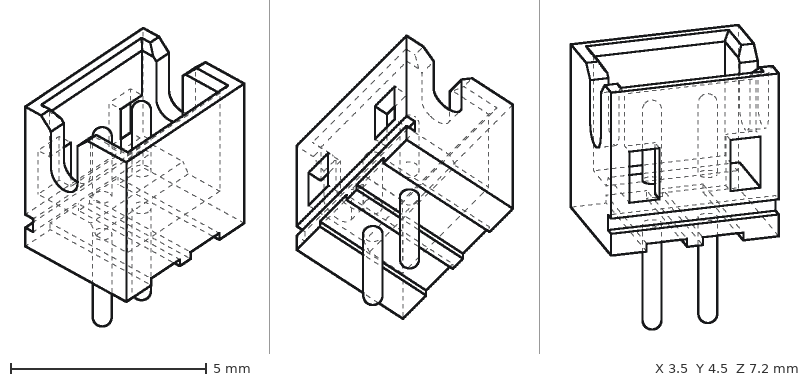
import cadquery as cq

length_x = 3.5
width_y = 4.5
height = 4.5

end_wall = 0.4
side_wall = 0.49
floor_z = 1.405
mouth_width = 0.15
mouth_depth = 0.245

ramp_start_x = 1.82
ramp_end_x = 2.01
lower_floor_z = 1.1

slot_center_x = 1.35
slot_width = 0.915
slot_bottom_z = 2.5
flare = 0.345

groove_depth = 0.27
groove_bottom_z = 0.605
groove_height = 0.42

window_width = 0.81
window_height = 1.41

channel_inner_y = 0.21
channel_width = 1.09
channel_height = 0.215

pin_diameter = 0.5
pin_length = 6.3
dome_radius = 0.999 * pin_diameter / 2
pin_bottom_z = -2.7
pin_x = 1.3
pin_pitch = 1.5

cavity_length = length_x - 2 * end_wall
cavity_width = width_y - 2 * side_wall


def block(x, y, z, dx, dy, dz):
    """Box from its lowest corner and its sizes."""
    return cq.Workplane("XY").box(dx, dy, dz, centered=False).translate((x, y, z))


def make_cavity():
    end_x = length_x - end_wall
    well = (
        cq.Workplane("XZ")
        .moveTo(end_wall, height)
        .lineTo(end_wall, floor_z)
        .lineTo(ramp_start_x, floor_z)
        .lineTo(ramp_end_x, lower_floor_z)
        .lineTo(end_x, lower_floor_z)
        .lineTo(end_x, height)
        .close()
        .extrude(cavity_width / 2, both=True)
    )
    mouth = (
        cq.Workplane("XY", origin=(length_x / 2, 0, height - mouth_depth))
        .rect(cavity_length, cavity_width)
        .workplane(offset=mouth_depth)
        .rect(cavity_length + 2 * mouth_width, cavity_width + 2 * mouth_width)
        .loft(ruled=True)
    )
    return well.union(mouth)


def make_slot():
    radius = slot_width / 2
    left = slot_center_x - radius
    right = slot_center_x + radius
    arc_z = slot_bottom_z + radius
    return (
        cq.Workplane("XZ")
        .moveTo(left - flare, height)
        .lineTo(left, height - flare)
        .lineTo(left, arc_z)
        .threePointArc((slot_center_x, slot_bottom_z), (right, arc_z))
        .lineTo(right, height - flare)
        .lineTo(right + flare, height)
        .close()
        .extrude(width_y / 2, both=True)
    )


def make_pin(y):
    return (
        cq.Workplane("XY", origin=(pin_x, y, pin_bottom_z))
        .circle(pin_diameter / 2)
        .extrude(pin_length)
        .edges()
        .fillet(dome_radius)
    )


housing = block(0, -width_y / 2, 0, length_x, width_y, height)
housing = housing.cut(make_cavity()).cut(make_slot())
housing = housing.cut(block(0, -width_y / 2, groove_bottom_z, groove_depth, width_y, groove_height))

window_y = cavity_width / 2 - window_width
window = block(0, window_y, floor_z, end_wall, window_width, window_height)
channel = block(0, channel_inner_y, 0, length_x, channel_width, channel_height)
for cutter in (window, channel):
    housing = housing.cut(cutter).cut(cutter.mirror("XZ"))

result = housing
for side in (-1, 1):
    result = result.union(make_pin(side * pin_pitch / 2))